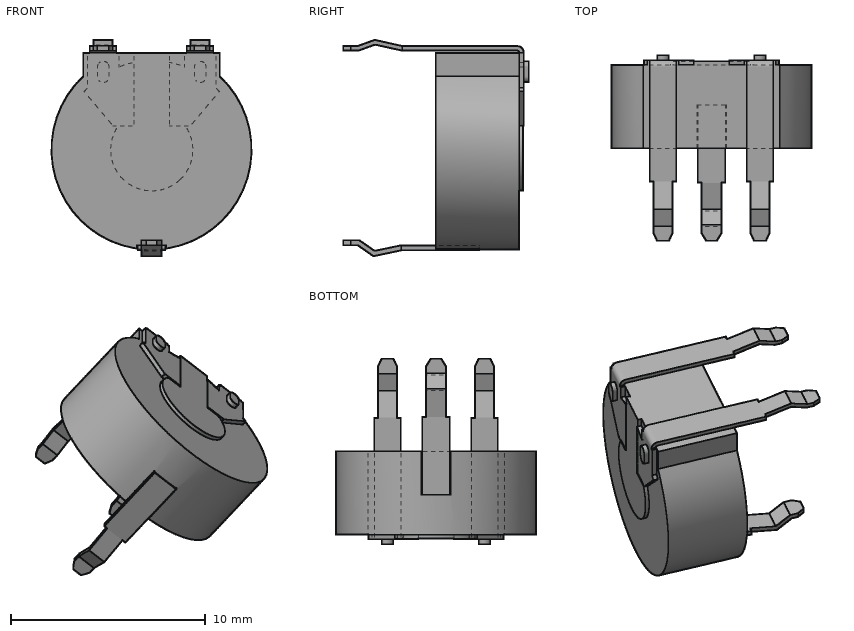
import cadquery as cq
import math

CASE_DIAMETER = 10.3
CASE_RADIUS = CASE_DIAMETER / 2
CASE_DEPTH = 4.3
CASE_TOP = 4.98
BLOCK_WIDTH = 7.03

PAD_HEIGHT = 0.2
PAD_RADIUS = 2.11
PAD_NECK_WIDTH = 1.8

UPPER_SHEET = 0.25
LOWER_SHEET = 0.27
TIP_Y = -4.75
RETURN_Y = -4.01
TIP_TAPER_LENGTH = 0.4

TERMINAL_OFFSET = 2.49
STRIP_WIDTH = 1.38
STRIP_GAP = 0.106
STRIP_END_Y = -1.7
PIN_WIDTH = 0.99
PIN_TIP_WIDTH = 0.61
PIN_CREST_Y = -3.13
PIN_CREST_Z = 5.64

NECK_WIDTH = 1.6
FAN_RADIUS = 4.59
FAN_CORNER_X = 3.47
FAN_FOOT_X = 1.99
FAN_FOOT_Z = 1.24

RIVET_WIDTH = 0.6
RIVET_LENGTH = 1.09
RIVET_HEIGHT = 0.26
RIVET_Z = 4.01

SLOT_WIDTH = 1.54
SLOT_DEPTH = 2.25
LOWER_TOP = -4.92
LOWER_WIDTH = 1.44
LOWER_END_Y = -1.76
LOWER_PIN_WIDTH = 1.04
LOWER_TIP_WIDTH = 0.55
LOWER_CREST_Y = -3.19
LOWER_CREST_Z = -5.49
LOWER_TIP_BOTTOM = -4.92


def block(x_range, y_range, z_range):
    """Box between the given limits."""
    size = [high - low for low, high in (x_range, y_range, z_range)]
    corner = (x_range[0], y_range[0], z_range[0])
    return cq.Workplane("XY").box(*size, centered=False).translate(corner)


def plane_at(y):
    """X-Z sketch plane at the given y; a negative extrusion goes toward +Y."""
    return cq.Workplane("XZ", origin=(0, y, 0))


def sheet_edge(points, thickness):
    """Offset a (y, z) polyline to its left by the sheet thickness, with mitred corners."""
    angles = [math.atan2(b[1] - a[1], b[0] - a[0]) for a, b in zip(points, points[1:])]
    before = angles[:1] + angles
    after = angles + angles[-1:]
    edge = []
    for (y, z), first, second in zip(points, before, after):
        normal = (first + second) / 2 + math.pi / 2
        reach = thickness / math.cos((second - first) / 2)
        edge.append((y + reach * math.cos(normal), z + reach * math.sin(normal)))
    return edge


def kinked_pin(outer, sheet, width, tip_width):
    """Pin bent along the outer (y, z) polyline, with a tapered tip.

    A positive sheet thickness lies left of the polyline, a negative one right of it.
    """
    profile = outer + sheet_edge(outer, sheet)[::-1]
    pin = cq.Workplane("YZ").polyline(profile).close().extrude(width / 2, both=True)
    start_y = outer[0][0]
    taper_y = TIP_Y + TIP_TAPER_LENGTH
    outline = [
        (-width / 2, start_y), (-width / 2, taper_y), (-tip_width / 2, TIP_Y),
        (tip_width / 2, TIP_Y), (width / 2, taper_y), (width / 2, start_y),
    ]
    return pin.intersect(cq.Workplane("XY").polyline(outline).close().extrude(CASE_DIAMETER, both=True))


def make_case():
    half = BLOCK_WIDTH / 2
    corner = (half, math.sqrt(CASE_RADIUS**2 - half**2))
    case = (
        plane_at(0)
        .moveTo(-half, CASE_TOP)
        .lineTo(half, CASE_TOP)
        .lineTo(*corner)
        .threePointArc((0, -CASE_RADIUS), (-half, corner[1]))
        .close()
        .extrude(-CASE_DEPTH)
    )
    slot = block((-SLOT_WIDTH / 2, SLOT_WIDTH / 2), (0, SLOT_DEPTH), (-CASE_RADIUS, LOWER_TOP))
    return case.cut(slot)


def make_pad():
    pad = plane_at(CASE_DEPTH).circle(PAD_RADIUS).extrude(-PAD_HEIGHT)
    half = PAD_NECK_WIDTH / 2
    return pad.union(block((-half, half), (CASE_DEPTH, CASE_DEPTH + PAD_HEIGHT), (0, CASE_TOP)))


def make_back_plate():
    """Back plate on the +X side, fanning out below its neck to an arc about the case axis."""
    def on_fan(x):
        return (x, math.sqrt(FAN_RADIUS**2 - x**2))

    inner_x = PAD_NECK_WIDTH / 2
    middle_x = (inner_x + FAN_CORNER_X) / 2
    fan = (
        plane_at(CASE_DEPTH)
        .moveTo(inner_x, FAN_FOOT_Z)
        .lineTo(*on_fan(inner_x))
        .threePointArc(on_fan(middle_x), on_fan(FAN_CORNER_X))
        .lineTo(FAN_FOOT_X, FAN_FOOT_Z)
        .close()
        .extrude(-UPPER_SHEET)
    )
    neck = block(
        (TERMINAL_OFFSET - NECK_WIDTH / 2, TERMINAL_OFFSET + NECK_WIDTH / 2),
        (CASE_DEPTH, CASE_DEPTH + UPPER_SHEET),
        (on_fan(FAN_CORNER_X)[1], CASE_TOP),
    )
    return fan.union(neck)


def make_strip():
    """Strip over the case and its quarter bend down to the back plate, centred on x = 0."""
    bend_y = CASE_DEPTH - STRIP_GAP
    outer_radius = STRIP_GAP + UPPER_SHEET
    diagonal = math.sqrt(0.5)
    return (
        cq.Workplane("YZ")
        .moveTo(STRIP_END_Y, CASE_TOP + STRIP_GAP)
        .lineTo(bend_y, CASE_TOP + STRIP_GAP)
        .threePointArc(
            (bend_y + STRIP_GAP * diagonal, CASE_TOP + STRIP_GAP * diagonal),
            (CASE_DEPTH, CASE_TOP),
        )
        .lineTo(CASE_DEPTH + UPPER_SHEET, CASE_TOP)
        .threePointArc(
            (bend_y + outer_radius * diagonal, CASE_TOP + outer_radius * diagonal),
            (bend_y, CASE_TOP + outer_radius),
        )
        .lineTo(STRIP_END_Y, CASE_TOP + outer_radius)
        .close()
        .extrude(STRIP_WIDTH / 2, both=True)
    )


def make_upper_terminal():
    """Complete upper terminal on the +X side."""
    strip_top = CASE_TOP + STRIP_GAP + UPPER_SHEET
    pin_path = [
        (0, strip_top), (STRIP_END_Y, strip_top), (PIN_CREST_Y, PIN_CREST_Z),
        (RETURN_Y, strip_top), (TIP_Y, strip_top),
    ]
    pin = kinked_pin(pin_path, UPPER_SHEET, PIN_WIDTH, PIN_TIP_WIDTH)
    lead = make_strip().union(pin).translate((TERMINAL_OFFSET, 0, 0))
    rivet = (
        plane_at(CASE_DEPTH)
        .center(TERMINAL_OFFSET, RIVET_Z)
        .slot2D(RIVET_LENGTH, RIVET_WIDTH, 90)
        .extrude(-UPPER_SHEET - RIVET_HEIGHT)
    )
    return make_back_plate().union(lead).union(rivet)


def make_lower_terminal():
    bottom = LOWER_TOP - LOWER_SHEET
    half = LOWER_WIDTH / 2
    strip = block((-half, half), (LOWER_END_Y, SLOT_DEPTH), (bottom, LOWER_TOP))
    pin_path = [
        (0, bottom), (LOWER_END_Y, bottom), (LOWER_CREST_Y, LOWER_CREST_Z),
        (RETURN_Y, LOWER_TIP_BOTTOM), (TIP_Y, LOWER_TIP_BOTTOM),
    ]
    return strip.union(kinked_pin(pin_path, -LOWER_SHEET, LOWER_PIN_WIDTH, LOWER_TIP_WIDTH))


upper_terminal = make_upper_terminal()
result = (
    make_case()
    .union(make_pad())
    .union(upper_terminal)
    .union(upper_terminal.mirror("YZ"))
    .union(make_lower_terminal())
)